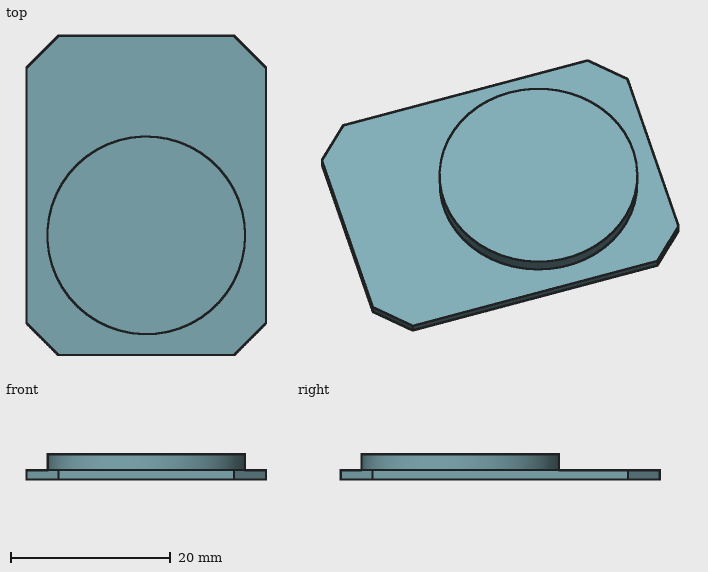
import cadquery as cq

plate_width = 30.0
plate_length = 40.0
plate_thickness = 1.2
corner_chamfer = 4.0

total_height = 3.2
disc_diameter = 24.75
disc_offset_y = -5.0
disc_height = total_height - plate_thickness

plate = (
    cq.Workplane("XY")
    .box(plate_width, plate_length, plate_thickness, centered=(True, True, False))
    .edges("|Z")
    .chamfer(corner_chamfer)
)

disc = (
    cq.Workplane("XY", origin=(0, disc_offset_y, plate_thickness))
    .circle(disc_diameter / 2)
    .extrude(disc_height)
)

result = plate.union(disc)